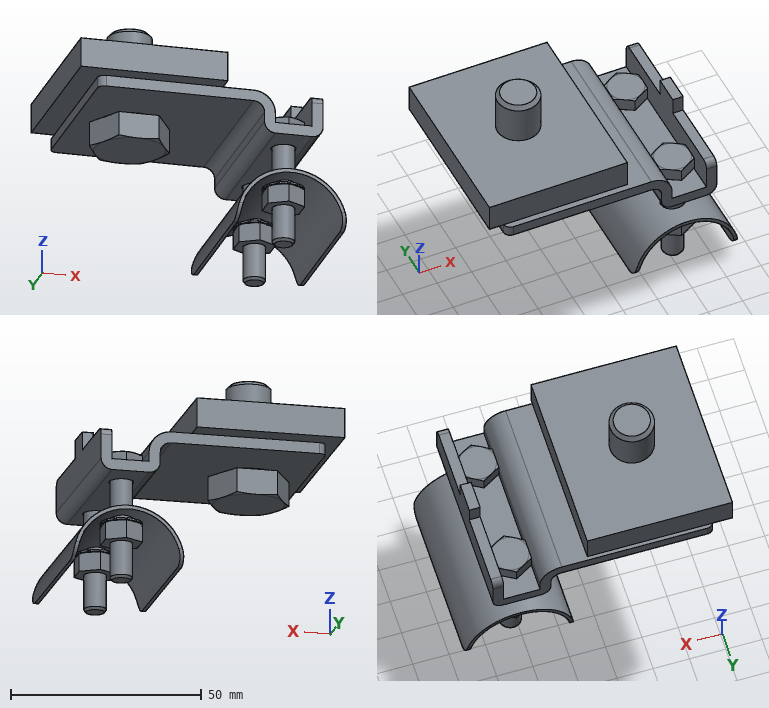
import cadquery as cq
import math


OVERALL_LENGTH = 73.0

PLATE_LENGTH = 40.0
PLATE_WIDTH = 50.0
PLATE_THICKNESS = 8.0

SHEET = 3.0
BRACKET_GAP = 1.9
BRACKET_DEPTH = 11.5
BRACKET_INSET = 5.0
LARGE_CLEARANCE_HOLE = 13.0
SMALL_CLEARANCE_HOLE = 6.5
UPPER_BEND_INNER_RADIUS = 3.0
UPPER_BEND_RADIUS = UPPER_BEND_INNER_RADIUS + SHEET
CHANNEL_CORNER_RADIUS = 3.0
CORNER_RADIUS = 2.0
TAB_WIDTH = 8.0
TAB_HEIGHT = 5.0

LARGE_SHANK = 12.0
LARGE_LENGTH = 25.0
LARGE_TIP_INSET = 1.1
LARGE_TIP_HEIGHT = 1.1
LARGE_ACROSS_FLATS = 19.0
LARGE_HEAD_HEIGHT = 7.5
LARGE_FACE_DIAMETER = 16.65
LARGE_FACE_HEIGHT = 0.6

SMALL_SHANK = 6.0
SMALL_LENGTH = 30.0
SMALL_TIP_INSET = 0.55
SMALL_TIP_HEIGHT = 0.7
SMALL_ACROSS_FLATS = 10.0
SMALL_HEAD_HEIGHT = 4.0
SMALL_FACE_DIAMETER = 8.9
SMALL_FACE_HEIGHT = 0.4
NUT_HEIGHT = 5.05
NUT_TOP = -25.3
SMALL_BOLT_SPACING = 29.05

HEX_CHAMFER_ANGLE = 15.0
CORNERS_ALONG_X = 0
CORNERS_ALONG_Y = 30

SHELL_DIAMETER = 30.0
SHELL_OUTER_RADIUS = SHELL_DIAMETER / 2
SHELL_WALL = 1.0
SHELL_INNER_RADIUS = SHELL_OUTER_RADIUS - SHELL_WALL
SHELL_WIDTH = 47.0
SHELL_CORNER_RADIUS = 4.0
SHELL_AXIS_Z = -37.45

WASHER_DIAMETER = 11.2
WASHER_BORE = 6.4
WASHER_THICKNESS = 0.5
SLIT_COUNT = 12
SLIT_WIDTH = 0.6
SLIT_DEPTH = 1.1

SMALL_BOLT_X = OVERALL_LENGTH - PLATE_LENGTH / 2 - SHELL_OUTER_RADIUS
BRACKET_TOP = -BRACKET_GAP
BRACKET_UNDERSIDE = BRACKET_TOP - SHEET
CHANNEL_BOTTOM = BRACKET_TOP - BRACKET_DEPTH
CHANNEL_FLOOR = CHANNEL_BOTTOM + SHEET
CHANNEL_LEFT = SMALL_BOLT_X - SMALL_ACROSS_FLATS / 2
CHANNEL_RIGHT = SMALL_BOLT_X + SMALL_ACROSS_FLATS / 2
WALL_TOP = BRACKET_TOP
SMALL_BOLT_PLACES = [
    (SMALL_BOLT_X, -SMALL_BOLT_SPACING / 2),
    (SMALL_BOLT_X, SMALL_BOLT_SPACING / 2),
]


def cylinder(diameter, bottom, height, place=(0, 0)):
    """Upright cylinder standing on the given level."""
    return cq.Workplane("XY", origin=(*place, bottom)).circle(diameter / 2).extrude(height)


def chamfered_hex(across_flats, height, turn):
    """Hexagonal prism on z = 0 whose upper corners are cut by a shallow cone."""
    flat_radius = across_flats / 2
    corner_radius = flat_radius / math.cos(math.pi / 6)
    drop = (corner_radius - flat_radius) * math.tan(math.radians(HEX_CHAMFER_ANGLE))
    prism = cq.Workplane("XY").polygon(6, 2 * corner_radius).extrude(height)
    prism = prism.rotate((0, 0, 0), (0, 0, 1), turn)
    envelope = (
        cq.Workplane("XZ")
        .moveTo(0, 0)
        .lineTo(corner_radius, 0)
        .lineTo(corner_radius, height - drop)
        .lineTo(flat_radius, height)
        .lineTo(0, height)
        .close()
        .revolve(360, (0, 0, 0), (0, 1, 0))
    )
    return prism.intersect(envelope)


def hex_bolt(
    shank, length, tip_inset, tip_height,
    across_flats, head_height, face_diameter, face_height, turn,
):
    """Bolt with its bearing face on z = 0, head upwards and shank downwards."""
    hexagon = chamfered_hex(across_flats, head_height - face_height, turn)
    face = cylinder(face_diameter, 0, face_height)
    stem = (
        cq.Workplane("XZ")
        .moveTo(0, 0)
        .lineTo(shank / 2, 0)
        .lineTo(shank / 2, tip_height - length)
        .lineTo(shank / 2 - tip_inset, -length)
        .lineTo(0, -length)
        .close()
        .revolve(360, (0, 0, 0), (0, 1, 0))
    )
    return stem.union(face).union(hexagon.translate((0, 0, face_height)))


def make_plate():
    plate = cq.Workplane("XY").box(PLATE_LENGTH, PLATE_WIDTH, PLATE_THICKNESS, centered=(True, True, False))
    return plate.cut(cylinder(LARGE_SHANK, 0, PLATE_THICKNESS))


def make_bracket():
    free_end = -PLATE_LENGTH / 2 + BRACKET_INSET
    web_left = CHANNEL_LEFT - SHEET
    wall_right = CHANNEL_RIGHT + SHEET
    bend_x = CHANNEL_LEFT - UPPER_BEND_RADIUS
    bend_z = BRACKET_TOP - UPPER_BEND_RADIUS
    diagonal = math.sqrt(0.5)
    outer_mid = (bend_x + UPPER_BEND_RADIUS * diagonal, bend_z + UPPER_BEND_RADIUS * diagonal)
    inner_mid = (bend_x + UPPER_BEND_INNER_RADIUS * diagonal, bend_z + UPPER_BEND_INNER_RADIUS * diagonal)
    corner_step = CHANNEL_CORNER_RADIUS * (1 - diagonal)
    left_mid = (web_left + corner_step, CHANNEL_BOTTOM + corner_step)
    right_mid = (wall_right - corner_step, CHANNEL_BOTTOM + corner_step)

    bracket = (
        cq.Workplane("XZ")
        .moveTo(free_end, BRACKET_TOP)
        .lineTo(bend_x, BRACKET_TOP)
        .threePointArc(outer_mid, (CHANNEL_LEFT, bend_z))
        .lineTo(CHANNEL_LEFT, CHANNEL_FLOOR)
        .lineTo(CHANNEL_RIGHT, CHANNEL_FLOOR)
        .lineTo(CHANNEL_RIGHT, WALL_TOP)
        .lineTo(wall_right, WALL_TOP)
        .lineTo(wall_right, CHANNEL_BOTTOM + CHANNEL_CORNER_RADIUS)
        .threePointArc(right_mid, (wall_right - CHANNEL_CORNER_RADIUS, CHANNEL_BOTTOM))
        .lineTo(web_left + CHANNEL_CORNER_RADIUS, CHANNEL_BOTTOM)
        .threePointArc(left_mid, (web_left, CHANNEL_BOTTOM + CHANNEL_CORNER_RADIUS))
        .lineTo(web_left, bend_z)
        .threePointArc(inner_mid, (bend_x, BRACKET_UNDERSIDE))
        .lineTo(free_end, BRACKET_UNDERSIDE)
        .close()
        .extrude(PLATE_WIDTH / 2, both=True)
    )
    bracket = bracket.faces("<X").edges("|Z").fillet(CORNER_RADIUS)
    wall_end = cq.selectors.BoxSelector(
        (CHANNEL_RIGHT, -PLATE_WIDTH, CHANNEL_FLOOR), (wall_right, PLATE_WIDTH, WALL_TOP + SHEET)
    )
    bracket = bracket.edges(wall_end).edges("|X").fillet(CORNER_RADIUS)
    tab = cq.Workplane("XY", origin=(CHANNEL_RIGHT, 0, WALL_TOP)).box(
        SHEET, TAB_WIDTH, TAB_HEIGHT, centered=(False, True, False)
    )
    bracket = bracket.union(tab)
    bracket = bracket.cut(cylinder(LARGE_CLEARANCE_HOLE, BRACKET_UNDERSIDE, SHEET))
    for place in SMALL_BOLT_PLACES:
        bracket = bracket.cut(cylinder(SMALL_CLEARANCE_HOLE, CHANNEL_BOTTOM, SHEET, place))
    return bracket


def make_shell():
    shell = (
        cq.Workplane("XZ", origin=(SMALL_BOLT_X, 0, SHELL_AXIS_Z))
        .moveTo(-SHELL_OUTER_RADIUS, 0)
        .threePointArc((0, SHELL_OUTER_RADIUS), (SHELL_OUTER_RADIUS, 0))
        .lineTo(SHELL_INNER_RADIUS, 0)
        .threePointArc((0, SHELL_INNER_RADIUS), (-SHELL_INNER_RADIUS, 0))
        .close()
        .extrude(SHELL_WIDTH / 2, both=True)
    )
    shell = shell.edges("|X").fillet(SHELL_CORNER_RADIUS)
    for place in SMALL_BOLT_PLACES:
        shell = shell.cut(cylinder(SMALL_CLEARANCE_HOLE, SHELL_AXIS_Z, SHELL_OUTER_RADIUS, place))
    return shell


def make_large_bolt():
    bolt = hex_bolt(
        LARGE_SHANK, LARGE_LENGTH, LARGE_TIP_INSET, LARGE_TIP_HEIGHT,
        LARGE_ACROSS_FLATS, LARGE_HEAD_HEIGHT, LARGE_FACE_DIAMETER, LARGE_FACE_HEIGHT,
        CORNERS_ALONG_X,
    )
    head_down = bolt.rotate((0, 0, 0), (1, 0, 0), 180)
    return head_down.translate((0, 0, BRACKET_UNDERSIDE))


def make_small_bolt(place):
    bolt = hex_bolt(
        SMALL_SHANK, SMALL_LENGTH, SMALL_TIP_INSET, SMALL_TIP_HEIGHT,
        SMALL_ACROSS_FLATS, SMALL_HEAD_HEIGHT, SMALL_FACE_DIAMETER, SMALL_FACE_HEIGHT,
        CORNERS_ALONG_Y,
    )
    return bolt.translate((*place, CHANNEL_FLOOR))


def make_washer(place):
    washer = cylinder(WASHER_DIAMETER, 0, WASHER_THICKNESS)
    washer = washer.cut(cylinder(WASHER_BORE, 0, WASHER_THICKNESS))
    slits = (
        cq.Workplane("XY")
        .polarArray(WASHER_DIAMETER / 2, 0, 360, SLIT_COUNT)
        .rect(2 * SLIT_DEPTH, SLIT_WIDTH)
        .extrude(WASHER_THICKNESS)
    )
    return washer.cut(slits).translate((*place, NUT_TOP))


def make_nut(place):
    nut = chamfered_hex(SMALL_ACROSS_FLATS, NUT_HEIGHT, CORNERS_ALONG_Y)
    nut = nut.cut(cylinder(SMALL_SHANK, 0, NUT_HEIGHT))
    return nut.translate((*place, NUT_TOP - NUT_HEIGHT))


plate = make_plate()
bracket = make_bracket()
shell = make_shell()
large_bolt = make_large_bolt()
bodies = [plate.val(), bracket.val(), shell.val(), large_bolt.val()]
for bolt_place in SMALL_BOLT_PLACES:
    bodies.append(make_small_bolt(bolt_place).val())
    bodies.append(make_washer(bolt_place).val())
    bodies.append(make_nut(bolt_place).val())

result = cq.Compound.makeCompound(bodies)